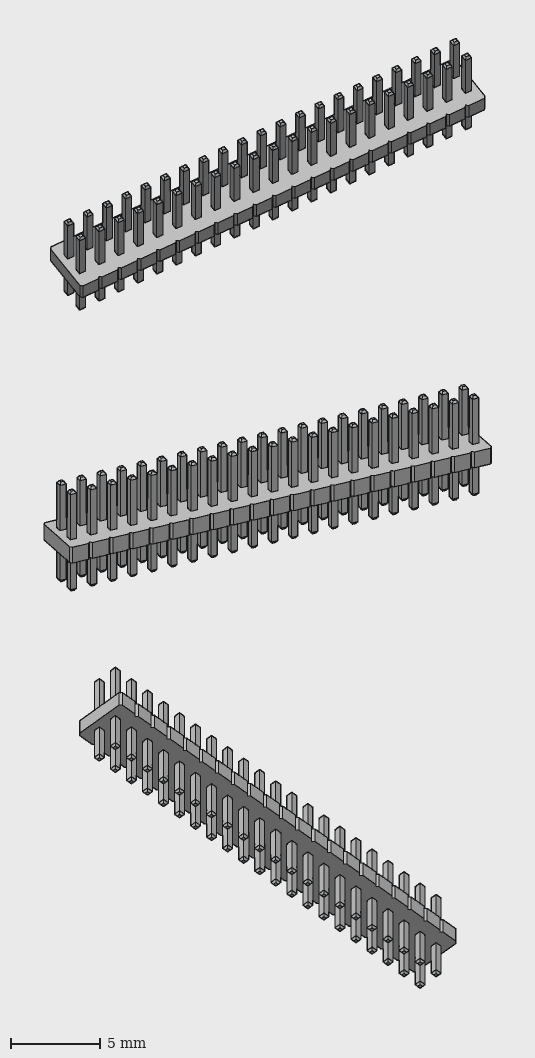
import cadquery as cq

PITCH = 1.27
ROWS = 21
COLUMNS = 2

BODY_WIDTH = 3.4
BODY_HEIGHT = 1.0
BODY_LENGTH = ROWS * PITCH
NOTCH_SIZE = PITCH / 10

PIN_SIZE = 0.4
PIN_ABOVE_BODY = 3.0
PIN_BELOW_BODY = 2.3
PIN_LENGTH = PIN_BELOW_BODY + BODY_HEIGHT + PIN_ABOVE_BODY
TIP_LENGTH = 0.15
TIP_INSET = 0.1


def make_body():
    """Bar with one segment per pin row; V notches part the segments and bevel the corners."""
    side = BODY_WIDTH / 2
    notch_root = side - NOTCH_SIZE
    right_edge = []
    for row in range(ROWS):
        start = row * PITCH - BODY_LENGTH / 2
        right_edge.append((notch_root, start))
        right_edge.append((side, start + NOTCH_SIZE))
        right_edge.append((side, start + PITCH - NOTCH_SIZE))
    right_edge.append((notch_root, BODY_LENGTH / 2))
    left_edge = [(-x, y) for x, y in reversed(right_edge)]
    return cq.Workplane("XY").polyline(right_edge + left_edge).close().extrude(BODY_HEIGHT)


def make_tip():
    """Frustum that narrows upward from the XY plane."""
    end_size = PIN_SIZE - 2 * TIP_INSET
    return (
        cq.Workplane("XY")
        .rect(PIN_SIZE, PIN_SIZE)
        .workplane(offset=TIP_LENGTH)
        .rect(end_size, end_size)
        .loft()
    )


def make_pin():
    """Square pin on the Z axis, tapered on all four sides at both ends."""
    shaft_length = PIN_LENGTH - 2 * TIP_LENGTH
    shaft_bottom = TIP_LENGTH - PIN_BELOW_BODY
    shaft = (
        cq.Workplane("XY")
        .box(PIN_SIZE, PIN_SIZE, shaft_length, centered=(True, True, False))
        .translate((0, 0, shaft_bottom))
    )
    top_tip = make_tip().translate((0, 0, shaft_bottom + shaft_length))
    bottom_tip = make_tip().mirror("XY").translate((0, 0, shaft_bottom))
    return shaft.union(top_tip).union(bottom_tip)


def make_pins():
    """All pins, on a square grid centred on the body."""
    pin = make_pin().val()
    return (
        cq.Workplane("XY")
        .rarray(PITCH, PITCH, COLUMNS, ROWS)
        .eachpoint(lambda place: pin.moved(place))
    )


result = make_body().union(make_pins())